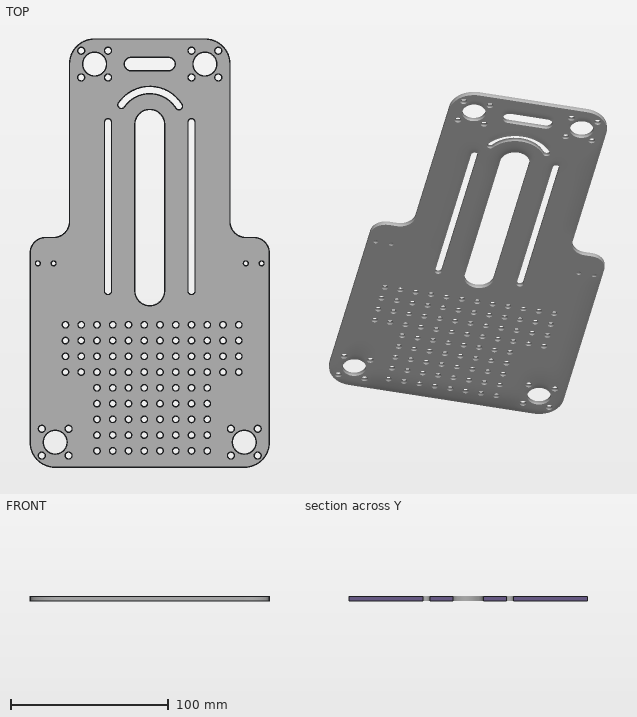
import cadquery as cq
import math

THICKNESS = 3.0
BASE_WIDTH = 152.0
NECK_WIDTH = 102.0
LENGTH = 272.0
SHOULDER_Y = 10.0
END_CORNER_RADIUS = 16.0
SHOULDER_RADIUS = 10.0

HALF_BASE = BASE_WIDTH / 2
HALF_NECK = NECK_WIDTH / 2
HALF_LENGTH = LENGTH / 2

MOUNT_HOLE_DIAMETER = 15.0
MOUNT_SCREW_DIAMETER = 4.3
MOUNT_SCREW_SPACING = 17.0

GRID_PITCH = 10.0
GRID_HOLE_DIAMETER = 4.0
GRID_CENTER_X = 1.5
GRID_TOP_Y = -45.5
WIDE_ROWS = 4
WIDE_COLUMNS = 12
NARROW_ROWS = 5
NARROW_COLUMNS = 8

SIDE_HOLE_DIAMETER = 3.0
SIDE_HOLE_XS = (61.0, 71.0)
SIDE_HOLE_Y = -6.5

HANDLE_SLOT_LENGTH = 32.2
HANDLE_SLOT_WIDTH = 8.4
CENTER_SLOT_Y = 28.9
CENTER_SLOT_LENGTH = 124.5
CENTER_SLOT_WIDTH = 18.8
GUIDE_SLOT_LENGTH = 111.5
GUIDE_SLOT_WIDTH = 4.3
GUIDE_SLOT_X = 26.5
GUIDE_SLOT_Y = 29.5

ARC_SLOT_RADIUS = 21.8
ARC_SLOT_WIDTH = 4.5
ARC_SLOT_CENTER_Y = CENTER_SLOT_Y + (CENTER_SLOT_LENGTH - CENTER_SLOT_WIDTH) / 2
ARC_SLOT_LEFT_ANGLE = 55.5
ARC_SLOT_RIGHT_ANGLE = 58.0


def fillet_corner_pair(plate, half_width, y, radius):
    """Round the two upright edges at (-half_width, y) and (half_width, y)."""
    for x in (-half_width, half_width):
        corner_edge = cq.selectors.NearestToPointSelector((x, y, THICKNESS / 2))
        plate = plate.edges("|Z").edges(corner_edge).fillet(radius)
    return plate


def make_plate():
    """Base and neck in one sheet, with every corner of the outline rounded."""
    base_length = SHOULDER_Y + HALF_LENGTH
    base = cq.Workplane("XY").box(BASE_WIDTH, base_length, THICKNESS, centered=(True, False, False))
    neck = cq.Workplane("XY").box(NECK_WIDTH, LENGTH, THICKNESS, centered=(True, False, False))
    plate = base.union(neck).translate((0, -HALF_LENGTH, 0))
    plate = fillet_corner_pair(plate, HALF_NECK, HALF_LENGTH, END_CORNER_RADIUS)
    plate = fillet_corner_pair(plate, HALF_BASE, -HALF_LENGTH, END_CORNER_RADIUS)
    plate = fillet_corner_pair(plate, HALF_NECK, SHOULDER_Y, SHOULDER_RADIUS)
    return fillet_corner_pair(plate, HALF_BASE, SHOULDER_Y, SHOULDER_RADIUS)


def cut_holes(plate, points, diameter):
    """Round through holes at the given points."""
    cutter = cq.Workplane("XY").pushPoints(points).circle(diameter / 2).extrude(THICKNESS)
    return plate.cut(cutter)


def cut_slots(plate, points, length, width, angle):
    """Straight round-ended through slots; angle 0 lies along X, 90 along Y."""
    cutter = cq.Workplane("XY").pushPoints(points).slot2D(length, width, angle).extrude(THICKNESS)
    return plate.cut(cutter)


def cut_corner_mounts(plate):
    end_y = HALF_LENGTH - END_CORNER_RADIUS
    neck_x = HALF_NECK - END_CORNER_RADIUS
    base_x = HALF_BASE - END_CORNER_RADIUS
    centers = [(-neck_x, end_y), (neck_x, end_y), (-base_x, -end_y), (base_x, -end_y)]
    offset = MOUNT_SCREW_SPACING / 2
    screws = [(x + dx, y + dy) for x, y in centers for dx in (-offset, offset) for dy in (-offset, offset)]
    plate = cut_holes(plate, centers, MOUNT_HOLE_DIAMETER)
    return cut_holes(plate, screws, MOUNT_SCREW_DIAMETER)


def cut_hole_grid(plate):
    points = []
    for row in range(WIDE_ROWS + NARROW_ROWS):
        columns = WIDE_COLUMNS if row < WIDE_ROWS else NARROW_COLUMNS
        first_x = GRID_CENTER_X - (columns - 1) * GRID_PITCH / 2
        y = GRID_TOP_Y - row * GRID_PITCH
        points += [(first_x + column * GRID_PITCH, y) for column in range(columns)]
    return cut_holes(plate, points, GRID_HOLE_DIAMETER)


def cut_side_holes(plate):
    points = [(side * x, SIDE_HOLE_Y) for side in (-1, 1) for x in SIDE_HOLE_XS]
    return cut_holes(plate, points, SIDE_HOLE_DIAMETER)


def cut_straight_slots(plate):
    handle = [(0, HALF_LENGTH - END_CORNER_RADIUS)]
    center = [(0, CENTER_SLOT_Y)]
    guides = [(-GUIDE_SLOT_X, GUIDE_SLOT_Y), (GUIDE_SLOT_X, GUIDE_SLOT_Y)]
    plate = cut_slots(plate, handle, HANDLE_SLOT_LENGTH, HANDLE_SLOT_WIDTH, 0)
    plate = cut_slots(plate, center, CENTER_SLOT_LENGTH, CENTER_SLOT_WIDTH, 90)
    return cut_slots(plate, guides, GUIDE_SLOT_LENGTH, GUIDE_SLOT_WIDTH, 90)


def arc_slot_point(radius, angle):
    """Point on a circle about the curved slot's center, angle in degrees from +Y toward +X."""
    turn = math.radians(angle)
    return (radius * math.sin(turn), ARC_SLOT_CENTER_Y + radius * math.cos(turn))


def cut_arc_slot(plate):
    outer = ARC_SLOT_RADIUS + ARC_SLOT_WIDTH / 2
    inner = ARC_SLOT_RADIUS - ARC_SLOT_WIDTH / 2
    left = -ARC_SLOT_LEFT_ANGLE
    right = ARC_SLOT_RIGHT_ANGLE
    band = (
        cq.Workplane("XY")
        .moveTo(*arc_slot_point(outer, left))
        .threePointArc(arc_slot_point(outer, 0), arc_slot_point(outer, right))
        .lineTo(*arc_slot_point(inner, right))
        .threePointArc(arc_slot_point(inner, 0), arc_slot_point(inner, left))
        .close()
        .extrude(THICKNESS)
    )
    ends = [arc_slot_point(ARC_SLOT_RADIUS, left), arc_slot_point(ARC_SLOT_RADIUS, right)]
    return cut_holes(plate.cut(band), ends, ARC_SLOT_WIDTH)


result = make_plate()
result = cut_corner_mounts(result)
result = cut_hole_grid(result)
result = cut_side_holes(result)
result = cut_straight_slots(result)
result = cut_arc_slot(result)